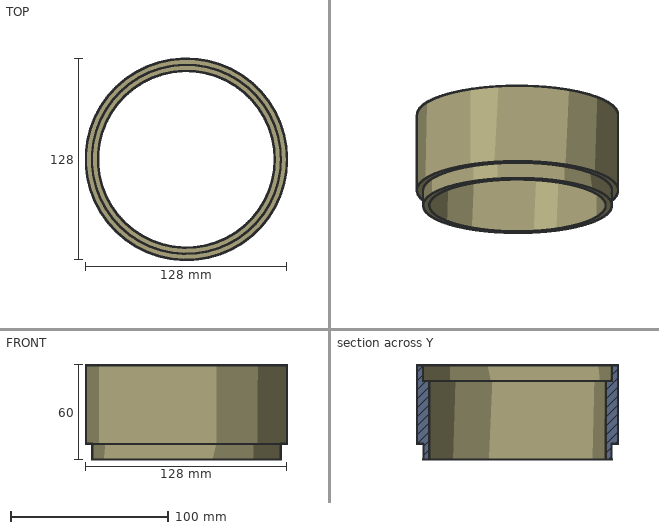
import cadquery as cq

outer_diameter = 128.0
wall_step = 4.0
joint_length = 10.0
total_height = 60.0

joint_diameter = outer_diameter - 2 * wall_step
bore_diameter = joint_diameter - 2 * wall_step

spigot = cq.Workplane("XY").circle(joint_diameter / 2).extrude(joint_length)

sleeve = (
    cq.Workplane("XY")
    .workplane(offset=joint_length)
    .circle(outer_diameter / 2)
    .extrude(total_height - joint_length)
)

bore = cq.Workplane("XY").circle(bore_diameter / 2).extrude(total_height)

socket = (
    cq.Workplane("XY")
    .workplane(offset=total_height - joint_length)
    .circle(joint_diameter / 2)
    .extrude(joint_length)
)

result = spigot.union(sleeve).cut(bore).cut(socket)